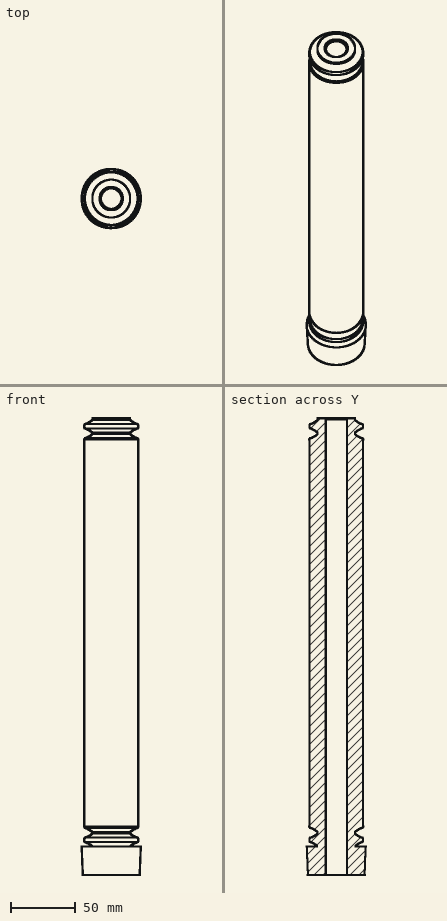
import cadquery as cq

total_height = 352.5
body_radius = 42.0 / 2
neck_radius = 29.3 / 2
lip_radius = 40.5 / 2

cap_top_radius = 46.0 / 2
cap_bottom_radius = 44.0 / 2
cap_height = 22.2

flare_height = 3.0
flare_radius = 14.0
neck_height = 1.0
top_neck_height = 1.5
rim_height = 3.5
edge_height = 1.0

bore_radius = 16.0 / 2
bore_chamfer = 1.0

lower_rim_bottom = cap_height + flare_height
lower_rim_top = lower_rim_bottom + rim_height
groove_height = 2 * flare_height + neck_height
barrel_bottom = lower_rim_top + groove_height
upper_rim_top = total_height - top_neck_height - flare_height
upper_rim_bottom = upper_rim_top - rim_height
barrel_top = upper_rim_bottom - groove_height


def add_rim(profile, bottom, top):
    """Draw a rounded rim from its bottom lip to its top lip."""
    middle = (bottom + top) / 2
    return profile.threePointArc((body_radius, middle), (lip_radius, top))


def add_groove(profile, bottom):
    """Draw a groove with concave flared sides and a narrow cylindrical floor."""
    floor_bottom = bottom + flare_height
    floor_top = floor_bottom + neck_height
    return (
        profile.radiusArc((neck_radius, floor_bottom), flare_radius)
        .lineTo(neck_radius, floor_top)
        .radiusArc((lip_radius, floor_top + flare_height), flare_radius)
    )


profile = (
    cq.Workplane("XZ")
    .lineTo(cap_bottom_radius, 0)
    .lineTo(cap_top_radius, cap_height)
    .lineTo(neck_radius, cap_height)
    .radiusArc((lip_radius, lower_rim_bottom), flare_radius)
)
profile = add_rim(profile, lower_rim_bottom, lower_rim_top)
profile = add_groove(profile, lower_rim_top)
profile = profile.lineTo(body_radius, barrel_bottom + edge_height)
profile = profile.lineTo(body_radius, barrel_top - edge_height).lineTo(lip_radius, barrel_top)
profile = add_groove(profile, barrel_top)
profile = add_rim(profile, upper_rim_bottom, upper_rim_top)
profile = (
    profile.radiusArc((neck_radius, total_height - top_neck_height), flare_radius)
    .lineTo(neck_radius, total_height)
    .lineTo(0, total_height)
    .close()
)
column = profile.revolve(360, (0, 0, 0), (0, 1, 0))

bore = cq.Workplane("XY").circle(bore_radius).extrude(total_height)
column = column.cut(bore)
result = column.faces(">Z").edges(cq.selectors.RadiusNthSelector(0)).chamfer(bore_chamfer)